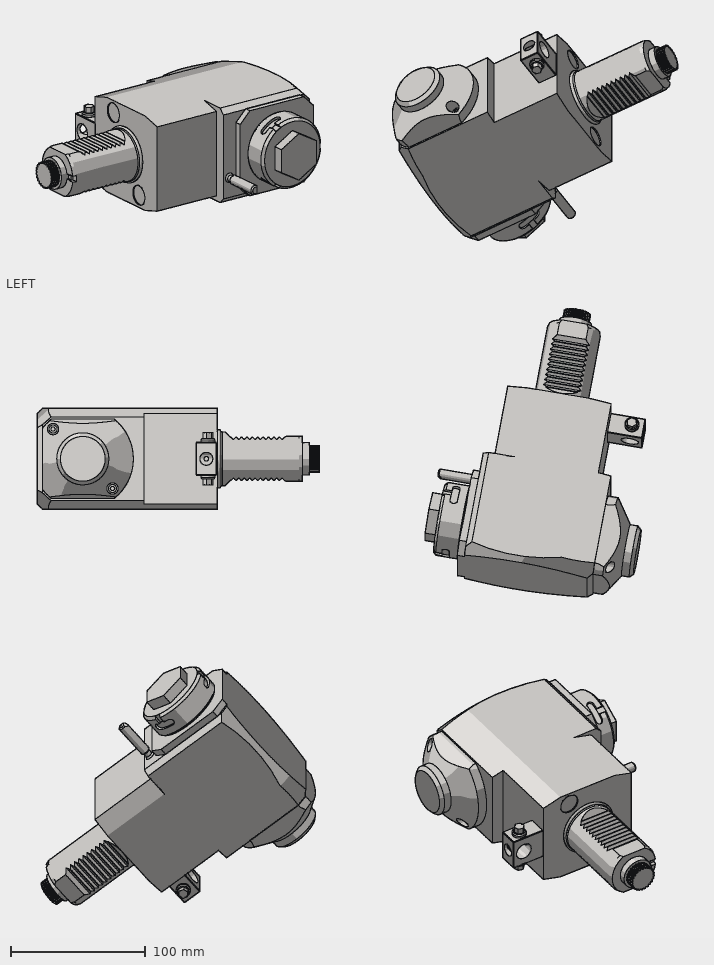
import cadquery as cq
import math


HOUSING_HEIGHT = 75.0
HOUSING_BACK = 133.5
SHOULDER_Y = 54.5
HEAD_LEFT = -48.5
HEAD_RIGHT = 47.7
NECK_HALF_WIDTH = 39.0
ROOF_HALF_WIDTH = 24.0
ROOF_SLOPE = math.tan(math.radians(15))
HEAD_RIGHT_BEVEL = 4.2
HEAD_CORNER_BEVEL = 3.8
SWING_CENTER_X = 9.5
SWING_RADIUS = 129.7
PLUG_RADIUS = 7.6
PLUG_RECESS = 1.0
PLUG_OFFSET = (16.0, 27.8)

FLANGE_SIZE = 67.5
SPINDLE_Y = HOUSING_BACK - FLANGE_SIZE / 2

COVER_RADIUS = 37.5
COVER_RIM_X = -55.7
COVER_CONE_TOP_X = -68.0
COVER_BACK_Y = 129.6
COVER_FLAT_X = -51.2
COVER_FLAT_HALF_HEIGHT = 29.5
CAP_RADIUS = 19.3
CAP_END_X = -76.5
CAP_CHAMFER = 2.7
COVER_SCREW_OFFSET = 22.0
COVER_SCREW_BORE_RADIUS = 4.2
COVER_SCREW_BORE_FLOOR_X = -51.0
COVER_SCREW_HEAD_RADIUS = 3.0
COVER_SCREW_HEAD_HEIGHT = 4.0
COVER_SCREW_SOCKET_DIAMETER = 3.4
COVER_SCREW_SOCKET_DEPTH = 2.0

FLANGE_BEVEL = 9.0
FLANGE_END_X = 53.0
NUT_NECK_RADIUS = 26.5
NUT_START_X = 54.2
NUT_RADIUS = 27.5
NUT_END_X = 72.4
NUT_CHAMFER = 2.0
NUT_SLOT_COUNT = 3
NUT_SLOT_FIRST_ANGLE = 30.0
NUT_SLOT_SPAN = 40.0
NUT_SLOT_X = 63.1
NUT_SLOT_WIDTH = 5.5
NUT_SLOT_DEPTH = 1.9
NUT_KEYWAY_WIDTH = 4.8
HEX_ACROSS_FLATS = 32.0
HEX_END_X = 80.5

PIN_Y = 60.0
PIN_Z = -17.6
PIN_RADIUS = 3.6
PIN_BASE_END_X = 49.1
PIN_NECK_RADIUS = 2.6
PIN_NECK_END_X = 52.2
PIN_BODY_START_X = 53.2
PIN_TIP_CHAMFER = 1.0
PIN_BEVEL_LENGTH = 3.0
PIN_BEVEL_DEPTH = 2.2

COLLAR_RADIUS = 21.7
COLLAR_SEAT_RADIUS = 21.0
COLLAR_FOOT_RADIUS = 20.4
COLLAR_LENGTH = 2.5
COLLAR_TAPER_END_Y = -3.7
SHANK_RADIUS = 20.0
SHANK_END_Y = -63.0
SHANK_CHAMFER_LENGTH = 2.5
SHANK_CHAMFER_DEPTH = 0.8
SHANK_FLAT_Z = 16.8
TOOTH_COUNT = 10
TOOTH_PITCH = 4.0
TOOTH_FIRST_Y = -11.9
TOOTH_ROOT_Z = 14.3
TOOTH_DEPTH = 1.75
TOOTH_RUN_OUT_Y = -51.1
KEY_SLOT_WIDTH = 4.7
KEY_SLOT_START = 15.2
KEY_SLOT_DEPTH = 3.0
KEY_POCKET_WIDTH = 3.9
KEY_POCKET_DEPTH = 1.5
DRIVE_COLLAR_RADIUS = 12.1
DRIVE_COLLAR_END_Y = -68.2
SPLINE_END_Y = -75.5
SPLINE_OUTER_RADIUS = 10.0
SPLINE_ROOT_RADIUS = 9.2
SPLINE_TEETH = 24

BLOCK_LEFT = -65.0
BLOCK_FRONT_Y = 0.6
BLOCK_BACK_Y = 15.8
BLOCK_HALF_HEIGHT = 12.3
BLOCK_CHAMFER = 0.5
BLOCK_PORT_X = -55.8
BLOCK_PORT_RADIUS = 6.5
BLOCK_INLET_RADIUS = 4.8
BLOCK_FEED_RADIUS = 1.7
BLOCK_FEED_DEPTH = 2.0
BLOCK_SCREW_Y = 7.0
SCREW_WASHER_RADIUS = 5.3
SCREW_WASHER_HEIGHT = 2.6
SCREW_WASHER_CHAMFER = 0.9
SCREW_HEAD_DIAMETER = 7.6
SCREW_HEAD_HEIGHT = 7.1
SCREW_HEAD_TURN = 45.0

HALF_HEIGHT = HOUSING_HEIGHT / 2
CUT_CLEARANCE = 1.0
BLOCK_MID_Y = (BLOCK_FRONT_Y + BLOCK_BACK_Y) / 2


def box(x_range, y_range, z_range):
    """Axis-aligned box between the given limits."""
    size = [high - low for low, high in (x_range, y_range, z_range)]
    corner = (x_range[0], y_range[0], z_range[0])
    return cq.Workplane("XY").box(*size, centered=False).translate(corner)


def cylinder_x(radius, x_start, x_end, y, z):
    """Cylinder along X."""
    plane = cq.Workplane("YZ", origin=(x_start, y, z))
    return plane.circle(radius).extrude(x_end - x_start)


def cylinder_y(radius, y_start, y_end, x, z):
    """Cylinder along Y, with y_start greater than y_end."""
    plane = cq.Workplane("XZ", origin=(x, y_start, z))
    return plane.circle(radius).extrude(y_start - y_end)


def roof_z(x):
    """Height of the sloping roof at distance x from the shank axis."""
    return HALF_HEIGHT - (abs(x) - ROOF_HALF_WIDTH) * ROOF_SLOPE


def mirrored_outline(upper_points):
    """Closed X-Z outline whose lower half mirrors the given upper half."""
    lower_points = [(x, -z) for x, z in reversed(upper_points)]
    return cq.Workplane("XZ").polyline(upper_points + lower_points).close()


def make_housing():
    head = mirrored_outline([
        (HEAD_LEFT, roof_z(HEAD_LEFT)),
        (-ROOF_HALF_WIDTH, HALF_HEIGHT),
        (HEAD_RIGHT - HEAD_RIGHT_BEVEL, HALF_HEIGHT),
        (HEAD_RIGHT, HALF_HEIGHT - HEAD_RIGHT_BEVEL),
    ]).extrude(-HOUSING_BACK)
    head = head.intersect(box(
        (HEAD_LEFT, HEAD_RIGHT), (SHOULDER_Y, HOUSING_BACK), (-HALF_HEIGHT, HALF_HEIGHT)))
    head = head.edges("|Z and <X and >Y").chamfer(HEAD_CORNER_BEVEL)

    neck = mirrored_outline([
        (-NECK_HALF_WIDTH, roof_z(NECK_HALF_WIDTH)),
        (-ROOF_HALF_WIDTH, HALF_HEIGHT),
        (ROOF_HALF_WIDTH, HALF_HEIGHT),
        (NECK_HALF_WIDTH, roof_z(NECK_HALF_WIDTH)),
    ]).extrude(-SHOULDER_Y)
    housing = neck.union(head)

    swing_waist = SWING_RADIUS + HALF_HEIGHT
    swing_body = (
        cq.Workplane("XZ")
        .polyline([(0, -HALF_HEIGHT), (SWING_RADIUS, -HALF_HEIGHT), (swing_waist, 0),
                   (SWING_RADIUS, HALF_HEIGHT), (0, HALF_HEIGHT)])
        .close()
        .revolve(360, (0, 0, 0), (0, 1, 0))
        .translate((SWING_CENTER_X, 0, 0))
    )
    housing = housing.intersect(swing_body)

    plug_x, plug_z = PLUG_OFFSET
    for side in (-1, 1):
        recess = cylinder_y(PLUG_RADIUS, PLUG_RECESS, 0, side * plug_x, -side * plug_z)
        housing = housing.cut(recess)
    return housing


def make_cover():
    cover = (
        cq.Workplane("XY")
        .polyline([
            (HEAD_LEFT, 0),
            (HEAD_LEFT, COVER_RADIUS),
            (COVER_RIM_X, COVER_RADIUS),
            (COVER_CONE_TOP_X, CAP_RADIUS),
            (COVER_CONE_TOP_X, 0),
        ])
        .close()
        .revolve(360, (0, 0, 0), (1, 0, 0))
        .translate((0, SPINDLE_Y, 0))
    )
    slope_drop = (COVER_FLAT_X - COVER_CONE_TOP_X) * ROOF_SLOPE
    trim = mirrored_outline([
        (COVER_CONE_TOP_X, COVER_FLAT_HALF_HEIGHT - slope_drop),
        (COVER_FLAT_X, COVER_FLAT_HALF_HEIGHT),
        (HEAD_LEFT, COVER_FLAT_HALF_HEIGHT),
    ]).extrude(-COVER_BACK_Y)
    cover = cover.intersect(trim)
    for side in (-1, 1):
        cover = fit_cover_screw(cover, SPINDLE_Y + side * COVER_SCREW_OFFSET, side * COVER_SCREW_OFFSET)

    cap = cylinder_x(CAP_RADIUS, CAP_END_X, COVER_CONE_TOP_X, SPINDLE_Y, 0)
    cap = cap.faces("<X").chamfer(CAP_CHAMFER)
    return cover.union(cap)


def fit_cover_screw(cover, y, z):
    """Counterbore the cover and leave a socket-head screw in the bore."""
    bore = cylinder_x(COVER_SCREW_BORE_RADIUS, COVER_CONE_TOP_X, COVER_SCREW_BORE_FLOOR_X, y, z)
    head_top_x = COVER_SCREW_BORE_FLOOR_X - COVER_SCREW_HEAD_HEIGHT
    head = cylinder_x(COVER_SCREW_HEAD_RADIUS, head_top_x, COVER_SCREW_BORE_FLOOR_X, y, z)
    socket = (
        cq.Workplane("YZ", origin=(head_top_x, y, z))
        .polygon(6, COVER_SCREW_SOCKET_DIAMETER)
        .extrude(COVER_SCREW_SOCKET_DEPTH)
    )
    return cover.cut(bore).union(head.cut(socket))


def make_flange():
    return (
        cq.Workplane("YZ", origin=(HEAD_RIGHT, SPINDLE_Y, 0))
        .rect(FLANGE_SIZE, FLANGE_SIZE)
        .extrude(FLANGE_END_X - HEAD_RIGHT)
        .edges("|X")
        .chamfer(FLANGE_BEVEL)
    )


def make_nut_slot():
    """Wrench slot centred on the +Z side of the nut, with its keyway."""
    floor_radius = NUT_RADIUS - NUT_SLOT_DEPTH
    half_span = NUT_SLOT_SPAN / 2
    end_radius = NUT_SLOT_WIDTH / 2
    arc_half_angle = half_span - math.degrees(end_radius / NUT_RADIUS)
    ring = (
        cylinder_x(NUT_RADIUS + CUT_CLEARANCE, NUT_SLOT_X - end_radius, NUT_SLOT_X + end_radius, 0, 0)
        .cut(cylinder_x(floor_radius, NUT_SLOT_X - end_radius, NUT_SLOT_X + end_radius, 0, 0))
    )
    reach = 2 * NUT_RADIUS
    spread = reach * math.tan(math.radians(arc_half_angle))
    wedge = (
        cq.Workplane("YZ")
        .polyline([(0, 0), (-spread, reach), (spread, reach)])
        .close()
        .extrude(NUT_END_X)
    )
    slot = ring.intersect(wedge)
    for side in (-1, 1):
        end = (
            cq.Workplane("XY", origin=(NUT_SLOT_X, 0, floor_radius))
            .circle(end_radius)
            .extrude(reach - floor_radius)
            .rotate((0, 0, 0), (1, 0, 0), side * arc_half_angle)
        )
        slot = slot.union(end)
    keyway = box(
        (NUT_SLOT_X, NUT_END_X),
        (-NUT_KEYWAY_WIDTH / 2, NUT_KEYWAY_WIDTH / 2),
        (floor_radius, reach))
    return slot.union(keyway)


def make_nut():
    nut = cylinder_x(NUT_RADIUS, NUT_START_X, NUT_END_X, 0, 0).faces(">X").chamfer(NUT_CHAMFER)
    slot = make_nut_slot()
    for index in range(NUT_SLOT_COUNT):
        angle = NUT_SLOT_FIRST_ANGLE + index * 360 / NUT_SLOT_COUNT
        nut = nut.cut(slot.rotate((0, 0, 0), (1, 0, 0), angle))
    neck = cylinder_x(NUT_NECK_RADIUS, FLANGE_END_X, NUT_START_X, 0, 0)
    hexagon_diameter = HEX_ACROSS_FLATS / math.cos(math.pi / 6)
    hexagon = (
        cq.Workplane("YZ", origin=(NUT_END_X, 0, 0))
        .polygon(6, hexagon_diameter)
        .extrude(HEX_END_X - NUT_END_X)
        .rotate((0, 0, 0), (1, 0, 0), 90)
    )
    return nut.union(neck).union(hexagon).translate((0, SPINDLE_Y, 0))


def make_pin():
    pin = (
        cq.Workplane("XY")
        .polyline([
            (HEAD_RIGHT, 0),
            (HEAD_RIGHT, PIN_RADIUS),
            (PIN_BASE_END_X, PIN_NECK_RADIUS),
            (PIN_NECK_END_X, PIN_NECK_RADIUS),
            (PIN_BODY_START_X, PIN_RADIUS),
            (HEX_END_X - PIN_TIP_CHAMFER, PIN_RADIUS),
            (HEX_END_X, PIN_RADIUS - PIN_TIP_CHAMFER),
            (HEX_END_X, 0),
        ])
        .close()
        .revolve(360, (0, 0, 0), (1, 0, 0))
    )
    bevel_start_x = HEX_END_X - PIN_BEVEL_LENGTH
    bevel = (
        cq.Workplane("XY")
        .polyline([(bevel_start_x, PIN_RADIUS), (HEX_END_X, PIN_RADIUS),
                   (HEX_END_X, PIN_RADIUS - PIN_BEVEL_DEPTH)])
        .close()
        .extrude(PIN_RADIUS, both=True)
    )
    return pin.cut(bevel).translate((0, PIN_Y, PIN_Z))


def make_tooth_cutter():
    """Material to remove above the toothed flat; the tooth flanks are at 45 degrees."""
    clear_z = SHANK_RADIUS + CUT_CLEARANCE
    crest_z = TOOTH_ROOT_Z + TOOTH_DEPTH
    run_in_y = TOOTH_FIRST_Y + TOOTH_PITCH - TOOTH_DEPTH
    points = [(run_in_y + clear_z - crest_z, clear_z), (run_in_y, crest_z)]
    for index in range(TOOTH_COUNT):
        root_y = TOOTH_FIRST_Y - index * TOOTH_PITCH
        points += [
            (root_y + TOOTH_DEPTH, crest_z),
            (root_y, TOOTH_ROOT_Z),
            (root_y - TOOTH_DEPTH, crest_z),
        ]
    points += [(TOOTH_RUN_OUT_Y, SHANK_FLAT_Z), (SHANK_END_Y, SHANK_FLAT_Z), (SHANK_END_Y, clear_z)]
    return cq.Workplane("YZ").polyline(points).close().extrude(SHANK_RADIUS, both=True)


def make_shank():
    shank = (
        cq.Workplane("XY")
        .lineTo(COLLAR_SEAT_RADIUS, 0)
        .threePointArc((COLLAR_RADIUS, -COLLAR_LENGTH / 2), (COLLAR_FOOT_RADIUS, -COLLAR_LENGTH))
        .lineTo(SHANK_RADIUS, COLLAR_TAPER_END_Y)
        .lineTo(SHANK_RADIUS, SHANK_END_Y + SHANK_CHAMFER_LENGTH)
        .lineTo(SHANK_RADIUS - SHANK_CHAMFER_DEPTH, SHANK_END_Y)
        .lineTo(0, SHANK_END_Y)
        .close()
        .revolve(360, (0, 0, 0), (0, 1, 0))
    )
    cutter = make_tooth_cutter()
    shank = shank.cut(cutter).cut(cutter.mirror("XY"))

    key_slot = box(
        (KEY_SLOT_START, SHANK_RADIUS),
        (SHANK_END_Y, SHANK_END_Y + KEY_SLOT_DEPTH),
        (-KEY_SLOT_WIDTH / 2, KEY_SLOT_WIDTH / 2))
    key_pocket = box(
        (0, KEY_SLOT_START),
        (SHANK_END_Y, SHANK_END_Y + KEY_POCKET_DEPTH),
        (-KEY_POCKET_WIDTH / 2, KEY_POCKET_WIDTH / 2))
    shank = shank.cut(key_slot).cut(key_pocket)

    drive_collar = cylinder_y(
        DRIVE_COLLAR_RADIUS, SHANK_END_Y + KEY_SLOT_DEPTH, DRIVE_COLLAR_END_Y, 0, 0)
    return shank.union(drive_collar).union(make_spline())


def make_spline():
    points = []
    tooth_angle = 2 * math.pi / SPLINE_TEETH
    corners = (
        (0.0, SPLINE_ROOT_RADIUS),
        (0.3, SPLINE_ROOT_RADIUS),
        (0.5, SPLINE_OUTER_RADIUS),
        (0.8, SPLINE_OUTER_RADIUS),
    )
    for index in range(SPLINE_TEETH):
        for fraction, radius in corners:
            angle = (index + fraction) * tooth_angle
            points.append((radius * math.cos(angle), radius * math.sin(angle)))
    plane = cq.Workplane("XZ", origin=(0, DRIVE_COLLAR_END_Y, 0))
    return plane.polyline(points).close().extrude(DRIVE_COLLAR_END_Y - SPLINE_END_Y)


def make_block_screw():
    """Washer-head screw standing on the top of the coolant block."""
    plane = cq.Workplane("XY", origin=(BLOCK_PORT_X, BLOCK_SCREW_Y, BLOCK_HALF_HEIGHT))
    washer = plane.circle(SCREW_WASHER_RADIUS).extrude(SCREW_WASHER_HEIGHT)
    washer = washer.faces(">Z").chamfer(SCREW_WASHER_CHAMFER)
    head = plane.transformed(rotate=(0, 0, SCREW_HEAD_TURN)).polygon(6, SCREW_HEAD_DIAMETER)
    return washer.union(head.extrude(SCREW_HEAD_HEIGHT))


def make_block():
    block = box(
        (BLOCK_LEFT, -NECK_HALF_WIDTH),
        (BLOCK_FRONT_Y, BLOCK_BACK_Y),
        (-BLOCK_HALF_HEIGHT, BLOCK_HALF_HEIGHT))
    block = block.edges("|X or <X").chamfer(BLOCK_CHAMFER)
    port = cylinder_y(BLOCK_PORT_RADIUS, BLOCK_BACK_Y, BLOCK_FRONT_Y, BLOCK_PORT_X, 0)
    inlet = cylinder_x(BLOCK_INLET_RADIUS, BLOCK_LEFT, BLOCK_PORT_X, BLOCK_MID_Y, 0)
    feed_end_x = BLOCK_PORT_X + BLOCK_PORT_RADIUS + BLOCK_FEED_DEPTH
    feed = cylinder_x(BLOCK_FEED_RADIUS, BLOCK_PORT_X, feed_end_x, BLOCK_MID_Y, 0)
    block = block.cut(port).cut(inlet).cut(feed)
    screw = make_block_screw()
    return block.union(screw).union(screw.mirror("XY"))


result = (
    make_housing()
    .union(make_cover())
    .union(make_flange())
    .union(make_nut())
    .union(make_pin())
    .union(make_shank())
    .union(make_block())
)